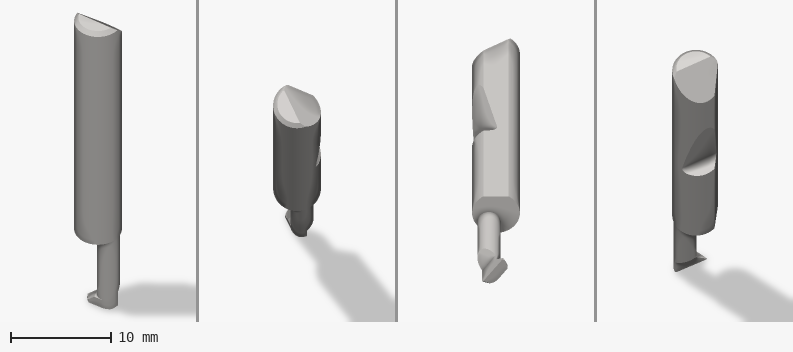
import cadquery as cq
import math

total_length = 38.1
shank_radius = 2.38
shank_bottom = 9.52
shank_length = total_length - shank_bottom
end_chamfer = 0.42

flat_distance = 2.02
flat_angle = 145.0

slope_start_z = 35.15

notch_top_z = 29.95
notch_floor_z = 21.1
notch_angle = math.radians(9.2)
notch_fillet = 0.6

neck_radius = 1.15
neck_x = shank_radius - neck_radius
relief_top_z = 3.35

tooth_tip_x = -1.22
tooth_tip_z = 0.1
tooth_nose_x = -1.1
tooth_height = 1.35
tooth_heel_x = 2.17
tooth_heel_z = 0.1
tooth_front_x = -0.4
tooth_bulge_x = -0.75
tooth_bulge_y = -0.75
neck_overlap_z = 0.75
clearance_angle = 10.0

margin = 7.62


def cylinder(x, radius, bottom, height):
    return cq.Workplane("XY", origin=(x, 0, bottom)).circle(radius).extrude(height)


def cut_along_x(points):
    """Prism through the full width, from (y, z) points."""
    return cq.Workplane("YZ").polyline(points).close().extrude(margin, both=True)


def make_shank():
    shank = cylinder(0, shank_radius, shank_bottom, shank_length)
    shank = shank.faces(">Z").edges().chamfer(end_chamfer)
    flat = (
        cq.Workplane("XY")
        .box(margin, margin, total_length, centered=(False, True, False))
        .translate((flat_distance, 0, 0))
        .rotate((0, 0, 0), (0, 0, 1), flat_angle)
    )
    slope = cut_along_x([
        (shank_radius, slope_start_z),
        (shank_radius - margin, slope_start_z + margin),
        (shank_radius, slope_start_z + margin),
    ])
    return shank.cut(flat).cut(slope).cut(make_notch())


def make_notch():
    """Long shallow ramp meeting a square floor at a filleted corner."""
    opening = notch_top_z - notch_floor_z
    ramp_length = opening * math.cos(notch_angle)
    corner_y = shank_radius - ramp_length * math.sin(notch_angle)
    corner_z = notch_top_z - ramp_length * math.cos(notch_angle)
    notch = cut_along_x([
        (shank_radius, notch_top_z),
        (corner_y, corner_z),
        (shank_radius, notch_floor_z),
    ])
    return notch.edges("|X").edges("<Y").fillet(notch_fillet)


def make_neck():
    neck = cylinder(neck_x, neck_radius, neck_overlap_z, shank_bottom - neck_overlap_z)
    relief = cut_along_x([
        (0, 0),
        (0, relief_top_z - neck_radius),
        (neck_radius, relief_top_z),
        (margin, relief_top_z),
        (margin, 0),
    ])
    return neck.cut(relief)


def make_tooth():
    """Cutting profile in the rake plane y = 0, tapered inward towards -Y for clearance."""
    side = shank_radius + neck_radius
    heel_rise = side - tooth_heel_x
    flank_rise = 2 * tooth_height
    profile = (
        cq.Workplane("XZ")
        .moveTo(tooth_tip_x, tooth_tip_z)
        .lineTo(tooth_nose_x, 0)
        .lineTo(tooth_heel_x, tooth_heel_z)
        .lineTo(side, tooth_heel_z + heel_rise)
        .lineTo(side, tooth_tip_z + flank_rise)
        .lineTo(tooth_tip_x + flank_rise, tooth_tip_z + flank_rise)
        .close()
        .extrude(neck_radius, taper=clearance_angle)
    )
    plan = (
        cq.Workplane("XY")
        .moveTo(tooth_tip_x, 0)
        .threePointArc((tooth_bulge_x, tooth_bulge_y), (tooth_front_x, -neck_radius))
        .lineTo(neck_x, -neck_radius)
        .radiusArc((shank_radius, 0), -neck_radius)
        .close()
        .extrude(tooth_height)
    )
    return profile.intersect(plan)


result = make_shank().union(make_neck()).union(make_tooth())